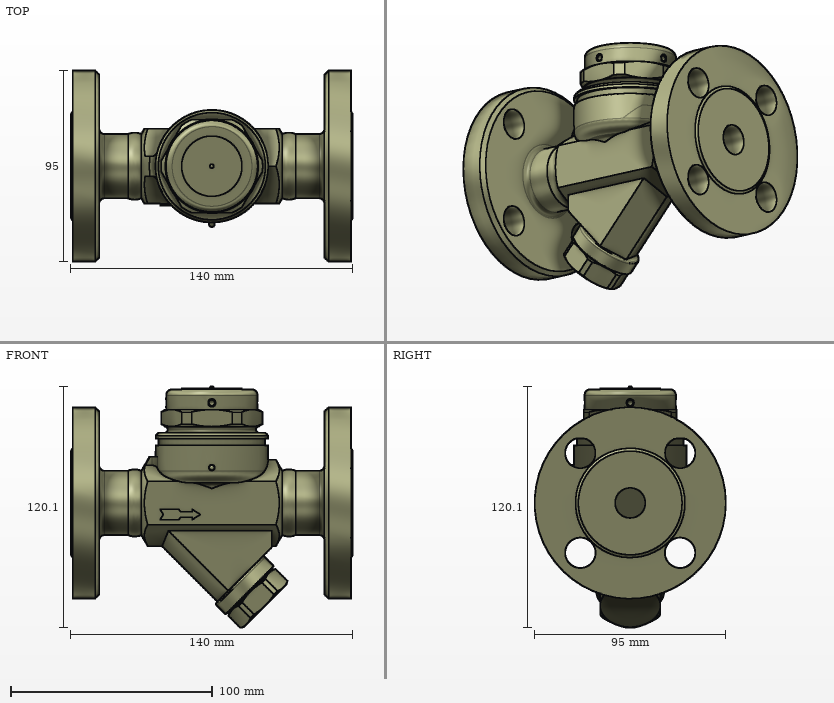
import cadquery as cq
import math

OVERALL_LENGTH = 140.0
FLANGE_DIAMETER = 95.0
FLANGE_FACE_X = 69.2
FLANGE_BACK_X = 55.9
FLANGE_CHAMFER = 2.1
RAISED_FACE_DIAMETER = 51.5
RAISED_FACE_FOOT_DIAMETER = 54.3
PIPE_DIAMETER = 32.0
PIPE_FILLET = 2.5
BEAD_LENGTH = 6.6
BEAD_HEIGHT = 0.7
BORE_DIAMETER = 15.0
BORE_DEPTH = 35.0
BOLT_HOLE_DIAMETER = 15.0
BOLT_CIRCLE_DIAMETER = 70.0
BOLT_HOLES = 4

BLOCK_LENGTH = 70.0
BLOCK_FLATS = 37.2
END_CHAMFER_ANGLE = 30.0
LUG_WIDTH = 9.8
LUG_TOP_Z = 23.0
LUG_FILLET = 3.0

BOWL_DIAMETER = 56.0
BOWL_TOP_Z = 28.5
BOWL_BOTTOM_Z = 10.1
BOWL_ROUND = 6.0
BOWL_FOOT_FILLET = 3.0

BALL_DIAMETER = 3.0
BALL_Z = 17.5
BALL_TIP_Y = -30.2

ARROW_HEIGHT = 1.0
ARROW_Z = -5.7
ARROW_TAIL_X = -25.6
ARROW_NOTCH_X = -24.1
ARROW_TAIL_END_X = -16.4
ARROW_SHAFT_X = -15.4
ARROW_HEAD_X = -9.7
ARROW_TIP_X = -5.7
ARROW_HALF_WIDTH = 2.5
ARROW_SHAFT_HALF_WIDTH = 1.3

ARM_ANGLE = 45.0
ARM_AXIS_Z = -24.5
ARM_FLATS = 26.6
ARM_SIDE_X = 29.8
ARM_ROOT_Z = -9.8

ARM_END = 19.3
COLLAR_END = 26.6
PLUG_HEX_START = 27.3
PLUG_END = 37.5

COLLAR_DIAMETER = 34.0
COLLAR_ROUND = 1.0
PLUG_NECK_DIAMETER = 31.4
PLUG_FLATS = 30.0
PLUG_CORNER_DIAMETER = 33.0

SPIGOT_DIAMETER = 53.0
RIM_BOTTOM_Z = 31.9
RIM_TOP_Z = 34.9
RIM_CHAMFER = 1.4
NECK_DIAMETER = 46.8
NECK_GROOVE_DEPTH = 1.4
COVER_HEX_BOTTOM_Z = 38.0
COVER_HEX_TOP_Z = 46.3
COVER_HEX_FLATS = 46.2
COVER_HEX_CORNER_DIAMETER = 50.4
CAP_DIAMETER = 45.5
CAP_TOP_Z = 56.4
CAP_ROUND = 3.0
PLATE_DIAMETER = 30.0
PLATE_TOP_Z = 57.0
RIVET_DIAMETER = 2.0
RIVET_TOP_Z = 58.0
DIMPLE_DIAMETER = 3.0
DIMPLE_MOUTH_DIAMETER = 3.9
DIMPLE_Z = 49.7
DIMPLES = 4

HEX_CHAMFER_ANGLE = 30.0


def across_corners(flats):
    return flats / math.cos(math.radians(30))


def cylinder(diameter, bottom_z, top_z):
    return cq.Workplane("XY").workplane(offset=bottom_z).circle(diameter / 2).extrude(top_z - bottom_z)


def wrench_hexagon(flats, corner_diameter, bottom, top):
    """Hexagon along Z with two flats facing +Y and -Y and corners turned down to a diameter."""
    corner_radius = corner_diameter / 2
    flat_radius = flats / 2
    drop = (corner_radius - flat_radius) * math.tan(math.radians(HEX_CHAMFER_ANGLE))
    height = top - bottom
    hexagon = cq.Workplane("XY").workplane(offset=bottom).polygon(6, across_corners(flats)).extrude(height)
    outline = (
        cq.Workplane("XZ")
        .moveTo(0, bottom)
        .lineTo(flat_radius, bottom)
        .lineTo(corner_radius, bottom + drop)
        .lineTo(corner_radius, top - drop)
        .lineTo(flat_radius, top)
        .lineTo(0, top)
        .close()
    )
    return hexagon.intersect(outline.revolve(360, (0, 0), (0, 1)))


def pipe_end():
    """Flange, pipe and weld bead on the -X side, as one revolved profile with its holes."""
    flange_radius = FLANGE_DIAMETER / 2
    pipe_radius = PIPE_DIAMETER / 2
    face_radius = RAISED_FACE_DIAMETER / 2
    foot_radius = RAISED_FACE_FOOT_DIAMETER / 2
    bead_end_x = -BLOCK_LENGTH / 2
    bead_start_x = bead_end_x - BEAD_LENGTH
    solid = (
        cq.Workplane("XY")
        .moveTo(-OVERALL_LENGTH / 2, 0)
        .lineTo(-OVERALL_LENGTH / 2, face_radius)
        .lineTo(-FLANGE_FACE_X, foot_radius)
        .lineTo(-FLANGE_FACE_X, flange_radius)
        .lineTo(-FLANGE_BACK_X - FLANGE_CHAMFER, flange_radius)
        .lineTo(-FLANGE_BACK_X, flange_radius - FLANGE_CHAMFER)
        .lineTo(-FLANGE_BACK_X, pipe_radius + PIPE_FILLET)
        .radiusArc((-FLANGE_BACK_X + PIPE_FILLET, pipe_radius), -PIPE_FILLET)
        .lineTo(bead_start_x, pipe_radius)
        .threePointArc(
            ((bead_start_x + bead_end_x) / 2, pipe_radius + BEAD_HEIGHT), (bead_end_x, pipe_radius)
        )
        .lineTo(0, pipe_radius)
        .lineTo(0, 0)
        .close()
        .revolve(360, (0, 0), (1, 0))
    )
    bolt_holes = (
        cq.Workplane("YZ", origin=(-OVERALL_LENGTH / 2, 0, 0))
        .polarArray(BOLT_CIRCLE_DIAMETER / 2, 180 / BOLT_HOLES, 360, BOLT_HOLES)
        .circle(BOLT_HOLE_DIAMETER / 2)
        .extrude(OVERALL_LENGTH / 2 - FLANGE_BACK_X)
    )
    return solid.cut(bolt_holes)


def bore():
    return cq.Workplane("YZ", origin=(-OVERALL_LENGTH / 2, 0, 0)).circle(BORE_DIAMETER / 2).extrude(BORE_DEPTH)


def block():
    """Hexagonal bar with one edge on top, a lug on its -X end, and both ends coned."""
    half_length = BLOCK_LENGTH / 2
    bar = (
        cq.Workplane("YZ", origin=(-half_length, 0, 0))
        .transformed(rotate=(0, 0, 90))
        .polygon(6, across_corners(BLOCK_FLATS))
        .extrude(BLOCK_LENGTH)
    )
    lug_bottom_z = BOWL_BOTTOM_Z + BOWL_ROUND
    lug_height = LUG_TOP_Z - lug_bottom_z
    lug = (
        cq.Workplane("XY", origin=(-half_length, 0, lug_bottom_z))
        .rect(2 * half_length, LUG_WIDTH)
        .extrude(lug_height)
        .union(cylinder(BOWL_DIAMETER, lug_bottom_z, LUG_TOP_Z))
    )
    lug_corners = cq.selectors.BoxSelector(
        (-BOWL_DIAMETER / 2, -LUG_WIDTH, lug_bottom_z), (-BOWL_DIAMETER / 4, LUG_WIDTH, LUG_TOP_Z)
    )
    lug = lug.edges("|Z").edges(lug_corners).fillet(LUG_FILLET)

    end_radius = PIPE_DIAMETER / 2
    outer_radius = BOWL_DIAMETER / 2
    cone_x = half_length - (outer_radius - end_radius) * math.tan(math.radians(END_CHAMFER_ANGLE))
    envelope = (
        cq.Workplane("XY")
        .moveTo(-half_length, 0)
        .lineTo(-half_length, end_radius)
        .lineTo(-cone_x, outer_radius)
        .lineTo(cone_x, outer_radius)
        .lineTo(half_length, end_radius)
        .lineTo(half_length, 0)
        .close()
        .revolve(360, (0, 0), (1, 0))
    )
    return bar.union(lug).intersect(envelope)


def bowl():
    radius = BOWL_DIAMETER / 2
    foot_radius = BLOCK_FLATS / 2
    round_radius = BOWL_ROUND
    return (
        cq.Workplane("XZ")
        .moveTo(0, BOWL_TOP_Z)
        .lineTo(radius, BOWL_TOP_Z)
        .lineTo(radius, BOWL_BOTTOM_Z + round_radius)
        .radiusArc((radius - round_radius, BOWL_BOTTOM_Z), round_radius)
        .lineTo(foot_radius + BOWL_FOOT_FILLET, BOWL_BOTTOM_Z)
        .radiusArc((foot_radius, BOWL_BOTTOM_Z - BOWL_FOOT_FILLET), -BOWL_FOOT_FILLET)
        .lineTo(0, BOWL_BOTTOM_Z - BOWL_FOOT_FILLET)
        .close()
        .revolve(360, (0, 0), (0, 1))
    )


def bowl_ball():
    radius = BALL_DIAMETER / 2
    return cq.Workplane("XY", origin=(0, BALL_TIP_Y + radius, BALL_Z)).sphere(radius)


def flow_arrow():
    upper_half = [
        (ARROW_NOTCH_X, 0),
        (ARROW_TAIL_X, ARROW_HALF_WIDTH),
        (ARROW_TAIL_END_X, ARROW_HALF_WIDTH),
        (ARROW_SHAFT_X, ARROW_SHAFT_HALF_WIDTH),
        (ARROW_HEAD_X, ARROW_SHAFT_HALF_WIDTH),
        (ARROW_HEAD_X, ARROW_HALF_WIDTH),
        (ARROW_TIP_X, 0),
    ]
    lower_half = [(x, -z) for x, z in reversed(upper_half[1:-1])]
    return (
        cq.Workplane("XZ", origin=(0, -BLOCK_FLATS / 2, ARROW_Z))
        .polyline(upper_half + lower_half)
        .close()
        .extrude(ARROW_HEIGHT)
    )


def along_arm(shape):
    """Move a shape built along +Z from the origin onto the inclined arm axis."""
    return shape.rotate((0, 0, 0), (0, 1, 0), 90 + ARM_ANGLE).translate((0, 0, ARM_AXIS_Z))


def arm():
    """Arm with flat sides, a half-hexagon underside and a gusset filling the corner to the block."""
    half_width = ARM_FLATS / 2
    corner = across_corners(ARM_FLATS) / 2
    reach = OVERALL_LENGTH / 2
    prism = along_arm(
        cq.Workplane("XY", origin=(0, 0, ARM_END - 2 * reach))
        .polyline([
            (-reach, -half_width),
            (corner / 2, -half_width),
            (corner, 0),
            (corner / 2, half_width),
            (-reach, half_width),
        ])
        .close()
        .extrude(2 * reach)
    )
    limits = (
        cq.Workplane("XY")
        .box(ARM_SIDE_X + BLOCK_LENGTH / 2, ARM_FLATS, reach, centered=(False, True, False))
        .translate((-BLOCK_LENGTH / 2, 0, ARM_ROOT_Z - reach))
    )
    return prism.intersect(limits)


def plug():
    collar = cylinder(COLLAR_DIAMETER, ARM_END, COLLAR_END).faces("<Z").edges().fillet(COLLAR_ROUND)
    neck = cylinder(PLUG_NECK_DIAMETER, COLLAR_END, PLUG_HEX_START)
    hexagon = wrench_hexagon(PLUG_FLATS, PLUG_CORNER_DIAMETER, PLUG_HEX_START, PLUG_END)
    return along_arm(collar.union(neck).union(hexagon))


def make_housing():
    inlet = pipe_end()
    outlet = inlet.mirror("YZ")
    housing = inlet.union(outlet).union(block()).union(arm()).union(bowl())
    housing = housing.union(bowl_ball()).union(flow_arrow()).union(plug())
    return housing.cut(bore()).cut(bore().mirror("YZ"))


def dimple():
    """Cutter for one round-bottomed dimple with a flared mouth on the +X side of the cap."""
    radius = DIMPLE_DIAMETER / 2
    mouth_radius = DIMPLE_MOUTH_DIAMETER / 2
    wall_x = CAP_DIAMETER / 2
    flare = mouth_radius - radius
    return (
        cq.Workplane("XZ", origin=(0, 0, DIMPLE_Z))
        .moveTo(wall_x - flare - radius, 0)
        .radiusArc((wall_x - flare, radius), radius)
        .lineTo(wall_x, mouth_radius)
        .lineTo(wall_x + flare, mouth_radius)
        .lineTo(wall_x + flare, 0)
        .close()
        .revolve(360, (0, 0), (1, 0))
    )


def make_cover():
    """Screwed cover: spigot, rim, neck, wrench hexagon and domed cap with its name plate."""
    rim_radius = BOWL_DIAMETER / 2
    neck_radius = NECK_DIAMETER / 2
    base = (
        cq.Workplane("XZ")
        .moveTo(0, BOWL_TOP_Z)
        .lineTo(SPIGOT_DIAMETER / 2, BOWL_TOP_Z)
        .lineTo(SPIGOT_DIAMETER / 2, RIM_BOTTOM_Z)
        .lineTo(rim_radius, RIM_BOTTOM_Z)
        .lineTo(rim_radius, RIM_TOP_Z - RIM_CHAMFER)
        .lineTo(rim_radius - RIM_CHAMFER, RIM_TOP_Z)
        .lineTo(neck_radius, RIM_TOP_Z)
        .threePointArc(
            (neck_radius - NECK_GROOVE_DEPTH, (RIM_TOP_Z + COVER_HEX_BOTTOM_Z) / 2),
            (neck_radius, COVER_HEX_BOTTOM_Z),
        )
        .lineTo(0, COVER_HEX_BOTTOM_Z)
        .close()
        .revolve(360, (0, 0), (0, 1))
    )
    hexagon = wrench_hexagon(
        COVER_HEX_FLATS, COVER_HEX_CORNER_DIAMETER, COVER_HEX_BOTTOM_Z, COVER_HEX_TOP_Z
    )
    cap = cylinder(CAP_DIAMETER, COVER_HEX_TOP_Z, CAP_TOP_Z).faces(">Z").edges().fillet(CAP_ROUND)
    plate = cylinder(PLATE_DIAMETER, CAP_TOP_Z, PLATE_TOP_Z)
    rivet_radius = RIVET_DIAMETER / 2
    rivet = cq.Workplane("XY", origin=(0, 0, RIVET_TOP_Z - rivet_radius)).sphere(rivet_radius)
    cover = base.union(hexagon).union(cap).union(plate).union(rivet)
    for index in range(DIMPLES):
        cover = cover.cut(dimple().rotate((0, 0, 0), (0, 0, 1), index * 360 / DIMPLES))
    return cover


housing = make_housing()
cover = make_cover()

result = cq.Compound.makeCompound([housing.val(), cover.val()])